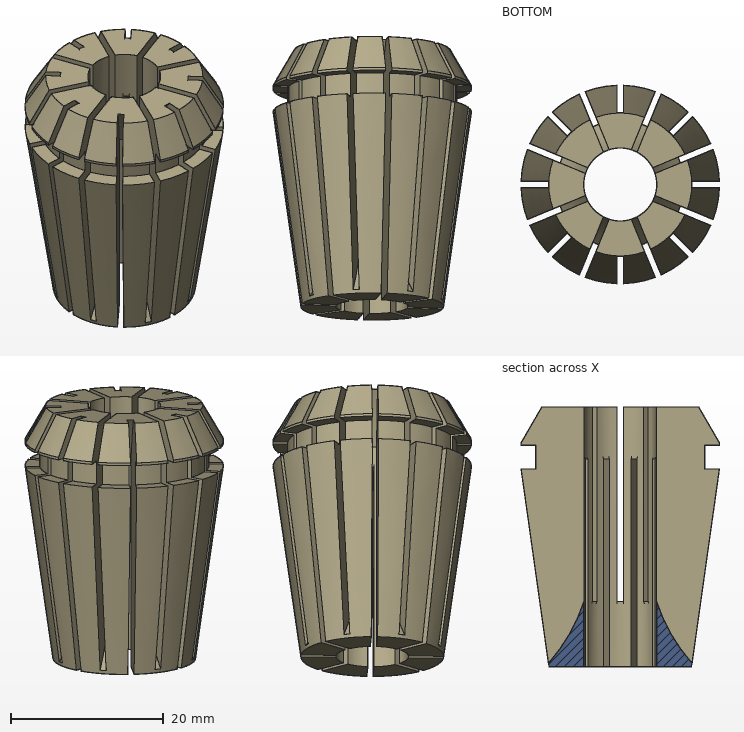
import cadquery as cq
import math

length = 34
max_radius = 13.0
bore_radius = 4.75

head_angle = 30
rim_top = 29.3
rim_bottom = 28.97
groove_bottom = 25.9
groove_radius = 11.1

taper_angle = 8

slots_per_end = 8
slot_width = 0.8
slot_pitch = 360 / slots_per_end
saw_radius = 22.78
slot_rise = 8.1
cut_clearance = 0.68
slot_outer_radius = max_radius + cut_clearance
top_slot_floor = 0.48
bottom_slot_exit_radius = 8.35

top_radius = max_radius - (length - rim_top) * math.tan(math.radians(head_angle))


def taper_radius(height):
    """Outer radius of the long taper at a height above the small end."""
    return max_radius - (groove_bottom - height) * math.tan(math.radians(taper_angle))


arc_outer_radius = taper_radius(top_slot_floor)
arc_run = arc_outer_radius - bore_radius
arc_chord = math.hypot(arc_run, slot_rise)
arc_center_offset = math.sqrt(saw_radius**2 - (arc_chord / 2) ** 2)
saw_center_radius = bore_radius + arc_run / 2 + arc_center_offset * slot_rise / arc_chord
saw_center_rise = slot_rise / 2 + arc_center_offset * arc_run / arc_chord


def saw_arc_rise(radius):
    """Height of the saw arc at a radius, above the lowest point of a top slot."""
    return saw_center_rise - math.sqrt(saw_radius**2 - (saw_center_radius - radius) ** 2)


def collet_body():
    """Solid of revolution with its through bore."""
    return (
        cq.Workplane("XZ")
        .moveTo(bore_radius, 0)
        .lineTo(taper_radius(0), 0)
        .lineTo(max_radius, groove_bottom)
        .lineTo(groove_radius, groove_bottom)
        .lineTo(groove_radius, rim_bottom)
        .lineTo(max_radius, rim_bottom)
        .lineTo(max_radius, rim_top)
        .lineTo(top_radius, length)
        .lineTo(bore_radius, length)
        .close()
        .revolve(360, (0, 0, 0), (0, 1, 0))
    )


def slot_cutter(angle):
    """Slot from the bore outward, open upward, its floor rising to the bore along the saw arc."""
    arc_middle_radius = (bore_radius + arc_outer_radius) / 2
    cutter_top = length + slot_rise
    return (
        cq.Workplane("XZ")
        .moveTo(0, cutter_top)
        .lineTo(0, slot_rise)
        .lineTo(bore_radius, slot_rise)
        .threePointArc((arc_middle_radius, saw_arc_rise(arc_middle_radius)), (arc_outer_radius, 0))
        .lineTo(slot_outer_radius, 0)
        .lineTo(slot_outer_radius, cutter_top)
        .close()
        .extrude(slot_width / 2, both=True)
        .rotate((0, 0, 0), (0, 0, 1), angle)
    )


bottom_slot_roof = length + saw_arc_rise(bottom_slot_exit_radius)

result = collet_body()
for index in range(slots_per_end):
    slot_angle = index * slot_pitch
    top_slot = slot_cutter(slot_angle).translate((0, 0, top_slot_floor))
    bottom_slot = (
        slot_cutter(slot_angle + slot_pitch / 2)
        .mirror("XY")
        .translate((0, 0, bottom_slot_roof))
    )
    result = result.cut(top_slot).cut(bottom_slot)